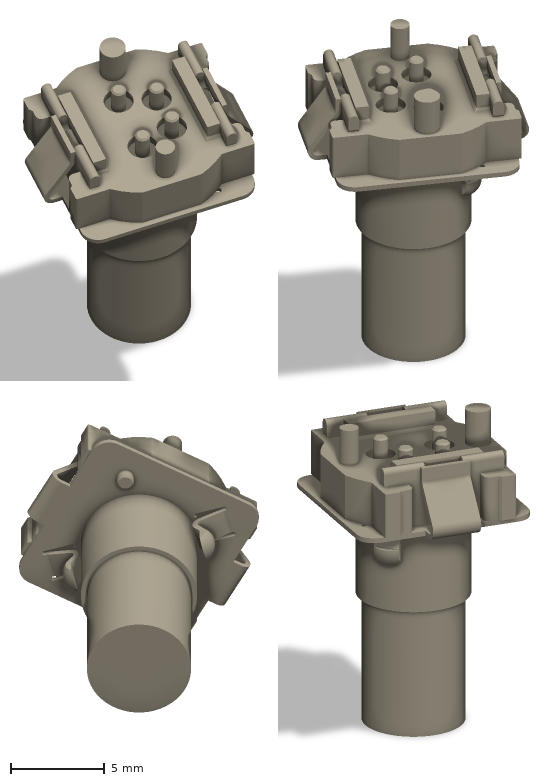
import cadquery as cq
import math

SHEET = 0.28
FLANGE_SIDE = 10.0
FLANGE_CORNER = 1.0

BODY_TOP = 2.8
BODY_ROUND_RADIUS = 5.0
BODY_HALF_X = 4.7
LUG_OUTER_X = 3.81
LUG_Y = 5.18
LUG_INNER_X = 2.98
STEP_X = 2.8
STEP_Y = 5.02
LUG_ROUND = 0.1
NOTCH_HALF_X = 2.08
NOTCH_ROUND = 0.33

COLLAR_RADIUS = 3.12
COLLAR_BOTTOM = -5.2
SLEEVE_RADIUS = 2.8
SLEEVE_BOTTOM = -12.5

GUIDE_TOP = 4.8
GUIDE_X = 3.75
GUIDE_RADII = {-GUIDE_X: 0.7, GUIDE_X: 0.52}
CONTACT_POINTS = [(-1.08, 1.46), (1.08, 1.46), (-1.71, -0.49), (1.71, -0.49)]
CONTACT_RADIUS = 0.4
CONTACT_CHAMFER = 0.1
CONTACT_TOP = 3.8
WELL_RADIUS = 0.81
WELL_DEPTH = 0.5

BAR_INNER_Y = 3.67
BAR_OUTER_Y = 4.25
BAR_HALF_X = 3.5
BAR_TOP = 3.82
BAR_END_ROUND = 0.2
BAR_RADIUS = (BAR_OUTER_Y - BAR_INNER_Y) / 2
BAR_MID_Y = (BAR_OUTER_Y + BAR_INNER_Y) / 2
GAP_HALF_X = 1.11
TROUGH_RADIUS = 0.26
TROUGH_FLOOR = 0.02
HUMP_PEAK_Y = 3.82
HUMP_PEAK = 3.2
RIDGE_HALF_X = 2.53
RIDGE_INNER_Y = 2.94
RIDGE_TOP = 3.76
RIDGE_FOOT = 0.16

LEAF_WIDTH = 2.8
LEAF_TOP = 3.7
LEAF_REACH = 6.05
LEAF_BEND_RADIUS = 0.57
LEAF_LEAN = math.radians(36)
LEAF_KNEE_RADIUS = 0.28

FINGER_HALF_WIDTH = 0.71
FINGER_ROOT = 5.03
FINGER_SLOT_WIDTH = 0.26
FINGER_WINDOW_START = 3.3
FINGER_HINGE = 4.93
FINGER_BEND_CENTRE = (3.7, -0.62)
FINGER_BEND_RADIUS = 0.52
FINGER_ARM_DROP = math.radians(16.7)
FINGER_LEG_SLOPE = math.radians(55)
FINGER_PAD_INNER = 3.6
FINGER_PAD_BOTTOM = -1.6
DOME_RADIUS = 1.0
DOME_CENTRE = (3.21, -1.5)
DOME_TOP = -1.33

FOOT_X = 3.32
FOOT_Y = 2.65
FOOT_RADIUS = 0.46
FOOT_HEIGHT = 0.53
FOOT_CHAMFER = 0.1

DIAGONAL = cq.Plane(origin=(0, 0, 0), xDir=(-1, -1, 0), normal=(-1, 1, 0))


def half_turn(shape):
    """The shape together with its copy turned 180 degrees about the part axis."""
    return shape.union(shape.rotate((0, 0, 0), (0, 0, 1), 180))


def disc(x, y, bottom, top, radius):
    """Upright cylinder between two heights."""
    return cq.Workplane("XY", origin=(x, y, bottom)).circle(radius).extrude(top - bottom)


def block(half_x, inner_y, outer_y, bottom, top):
    """Box centred on x = 0 between two y positions and two heights."""
    size = (2 * half_x, outer_y - inner_y, top - bottom)
    return cq.Workplane("XY", origin=(0, inner_y, bottom)).box(*size, centered=(True, False, False))


def make_flange():
    flange = cq.Workplane("XY").rect(FLANGE_SIDE, FLANGE_SIDE).extrude(SHEET)
    return flange.edges("|Z").fillet(FLANGE_CORNER)


def make_body():
    height = BODY_TOP - SHEET
    base = cq.Workplane("XY", origin=(0, 0, SHEET))
    middle = base.circle(BODY_ROUND_RADIUS).extrude(height)
    side_trim = base.rect(2 * BODY_HALF_X, 2 * BODY_ROUND_RADIUS).extrude(height)
    end_y = math.sqrt(BODY_ROUND_RADIUS**2 - LUG_OUTER_X**2)
    end_trim = base.rect(2 * BODY_HALF_X, 2 * end_y).extrude(height)
    middle = middle.intersect(side_trim).intersect(end_trim)

    lugs = [(LUG_OUTER_X, LUG_Y), (LUG_INNER_X, LUG_Y), (STEP_X, STEP_Y), (NOTCH_HALF_X, STEP_Y),
            (NOTCH_HALF_X, BAR_OUTER_Y)]
    mirrored = [(-x, y) for x, y in reversed(lugs)]
    end = base.polyline([(LUG_OUTER_X, 0)] + lugs + mirrored + [(-LUG_OUTER_X, 0)]).close().extrude(height)
    for side in (-1, 1):
        lug_corner = cq.NearestToPointSelector((side * LUG_OUTER_X, LUG_Y, SHEET + height / 2))
        end = end.edges(lug_corner).fillet(LUG_ROUND)
        notch_corner = cq.NearestToPointSelector((side * NOTCH_HALF_X, STEP_Y, SHEET + height / 2))
        end = end.edges(notch_corner).fillet(NOTCH_ROUND)
    return middle.union(half_turn(end))


def make_barrel():
    collar = disc(0, 0, COLLAR_BOTTOM, SHEET, COLLAR_RADIUS)
    return collar.union(disc(0, 0, SLEEVE_BOTTOM, COLLAR_BOTTOM, SLEEVE_RADIUS))


def make_contact(x, y):
    contact = disc(x, y, BODY_TOP - WELL_DEPTH, CONTACT_TOP, CONTACT_RADIUS)
    return contact.faces(">Z").chamfer(CONTACT_CHAMFER)


def make_bar():
    """Round-topped bar, cut through in the middle."""
    bar = block(BAR_HALF_X, BAR_INNER_Y, BAR_OUTER_Y, BODY_TOP, BAR_TOP - BAR_RADIUS)
    bar = bar.edges("|Y and <Z").fillet(BAR_END_ROUND)
    crown = cq.Workplane("YZ", origin=(-BAR_HALF_X, BAR_MID_Y, BAR_TOP - BAR_RADIUS))
    bar = bar.union(crown.circle(BAR_RADIUS).extrude(2 * BAR_HALF_X))
    return bar.cut(block(GAP_HALF_X, BAR_INNER_Y, BAR_OUTER_Y, BODY_TOP, BAR_TOP))


def make_gap_floor():
    """Two rounded troughs at the ends of the bar's gap, with a peaked hump between them."""
    shoulder = BODY_TOP + TROUGH_FLOOR + TROUGH_RADIUS
    floor = block(GAP_HALF_X, BAR_INNER_Y, BAR_OUTER_Y, BODY_TOP, shoulder)
    hump_half_x = GAP_HALF_X - 2 * TROUGH_RADIUS
    floor = floor.cut(block(hump_half_x, BAR_INNER_Y, BAR_OUTER_Y, BODY_TOP, shoulder))
    for side in (-1, 1):
        trough_x = side * (GAP_HALF_X - TROUGH_RADIUS)
        trough = cq.Workplane("XZ", origin=(trough_x, BAR_OUTER_Y, shoulder)).circle(TROUGH_RADIUS)
        floor = floor.cut(trough.extrude(BAR_OUTER_Y - BAR_INNER_Y))
    hump = (
        cq.Workplane("YZ", origin=(-hump_half_x, 0, 0))
        .moveTo(BAR_INNER_Y, BODY_TOP)
        .lineTo(BAR_INNER_Y, shoulder)
        .lineTo(HUMP_PEAK_Y, HUMP_PEAK)
        .lineTo(BAR_OUTER_Y, BODY_TOP)
        .close()
        .extrude(2 * hump_half_x)
    )
    return floor.union(hump)


def make_ridge():
    """Upright ridge against the bar, with a 45 degree foot on its three free sides."""
    ridge = block(RIDGE_HALF_X, RIDGE_INNER_Y, BAR_INNER_Y, BODY_TOP, RIDGE_TOP)
    foot_width = 2 * (RIDGE_HALF_X + RIDGE_FOOT)
    foot_depth = BAR_INNER_Y - RIDGE_INNER_Y + 2 * RIDGE_FOOT
    middle_y = (BAR_INNER_Y + RIDGE_INNER_Y) / 2
    foot = cq.Workplane("XY", origin=(0, middle_y, BODY_TOP)).rect(foot_width, foot_depth)
    foot = foot.extrude(RIDGE_FOOT, taper=45)
    foot = foot.intersect(block(foot_width, 0, BAR_INNER_Y, BODY_TOP, RIDGE_TOP))
    return ridge.union(foot)


def make_leaf():
    """Strip running out from the flange, curling up and leaning back against the bar."""
    centre_y = LEAF_REACH - LEAF_BEND_RADIUS
    centre_z = LEAF_BEND_RADIUS

    def on_bend(radius, angle):
        return (centre_y + radius * math.cos(angle), centre_z + radius * math.sin(angle))

    def knee(radius, face_y):
        tangent_y, tangent_z = on_bend(radius, LEAF_LEAN)
        return (face_y, tangent_z + (tangent_y - face_y) / math.tan(LEAF_LEAN))

    inner_radius = LEAF_BEND_RADIUS - SHEET
    mid_angle = (LEAF_LEAN - math.pi / 2) / 2
    front_y = BAR_OUTER_Y + SHEET
    front_knee = knee(LEAF_BEND_RADIUS, front_y)
    back_knee = knee(inner_radius, BAR_OUTER_Y)
    leaf = (
        cq.Workplane("YZ", origin=(-LEAF_WIDTH / 2, 0, 0))
        .moveTo(front_y, 0)
        .lineTo(centre_y, 0)
        .threePointArc(on_bend(LEAF_BEND_RADIUS, mid_angle), on_bend(LEAF_BEND_RADIUS, LEAF_LEAN))
        .lineTo(*front_knee)
        .lineTo(front_y, LEAF_TOP)
        .lineTo(BAR_OUTER_Y, LEAF_TOP)
        .lineTo(*back_knee)
        .lineTo(*on_bend(inner_radius, LEAF_LEAN))
        .threePointArc(on_bend(inner_radius, mid_angle), (centre_y, SHEET))
        .lineTo(front_y, SHEET)
        .close()
        .extrude(LEAF_WIDTH)
    )
    leaf = leaf.edges(cq.NearestToPointSelector((0, *front_knee))).fillet(LEAF_KNEE_RADIUS)
    return leaf.edges(cq.NearestToPointSelector((0, *back_knee))).fillet(LEAF_KNEE_RADIUS + SHEET)


def make_finger_window():
    """Opening in the flange around one finger: the finger's own strip plus a slot on each side."""
    strip_length = FINGER_HINGE - FINGER_WINDOW_START
    flat = cq.Plane(origin=(0, 0, 0), xDir=(-1, -1, 0), normal=(0, 0, 1))
    window = cq.Workplane(flat).center(FINGER_WINDOW_START + strip_length / 2, 0)
    window = window.rect(strip_length, 2 * FINGER_HALF_WIDTH).extrude(SHEET)
    slot_end = FINGER_ROOT + FINGER_SLOT_WIDTH / 2
    slot_length = slot_end - FINGER_WINDOW_START
    for side in (-1, 1):
        offset = side * (FINGER_HALF_WIDTH + FINGER_SLOT_WIDTH / 2)
        slot = cq.Workplane(flat).center(FINGER_WINDOW_START + slot_length / 2, offset)
        window = window.union(slot.slot2D(slot_length, FINGER_SLOT_WIDTH).extrude(SHEET))
    return window


def make_dome():
    """Part of a ball bulging outward from the pad, trimmed to the finger's width."""
    ball = cq.Workplane("XY").sphere(DOME_RADIUS).translate(DIAGONAL.toWorldCoords(DOME_CENTRE))
    trim = cq.Workplane(DIAGONAL).moveTo(FINGER_PAD_INNER, DOME_TOP)
    trim = trim.rect(2 * DOME_RADIUS, -2 * DOME_RADIUS, centered=False)
    return ball.intersect(trim.extrude(FINGER_HALF_WIDTH, both=True))


def make_finger():
    """Arm sloping down from the flange, turning back outward into a leg that ends in a domed pad."""
    centre_u, centre_z = FINGER_BEND_CENTRE
    arm_angle = math.pi / 2 + FINGER_ARM_DROP
    leg_angle = 3 * math.pi / 2 - FINGER_LEG_SLOPE
    mid_angle = (arm_angle + leg_angle) / 2

    def on_bend(radius, angle):
        return (centre_u + radius * math.cos(angle), centre_z + radius * math.sin(angle))

    def leg_end(radius, u):
        tangent_u, tangent_z = on_bend(radius, leg_angle)
        return (u, tangent_z - (u - tangent_u) * math.tan(FINGER_LEG_SLOPE))

    outer = FINGER_BEND_RADIUS
    inner = FINGER_BEND_RADIUS - SHEET
    pad_outer = FINGER_PAD_INNER + SHEET
    strip = (
        cq.Workplane(DIAGONAL)
        .moveTo(FINGER_ROOT, SHEET)
        .lineTo(FINGER_HINGE, SHEET)
        .lineTo(*on_bend(outer, arm_angle))
        .threePointArc(on_bend(outer, mid_angle), on_bend(outer, leg_angle))
        .lineTo(*leg_end(outer, FINGER_PAD_INNER))
        .lineTo(FINGER_PAD_INNER, FINGER_PAD_BOTTOM)
        .lineTo(pad_outer, FINGER_PAD_BOTTOM)
        .lineTo(*leg_end(inner, pad_outer))
        .lineTo(*on_bend(inner, leg_angle))
        .threePointArc(on_bend(inner, mid_angle), on_bend(inner, arm_angle))
        .lineTo(FINGER_HINGE, 0)
        .lineTo(FINGER_ROOT, 0)
        .close()
        .extrude(FINGER_HALF_WIDTH, both=True)
    )
    return strip.union(make_dome())


def make_foot():
    foot = disc(FOOT_X, -FOOT_Y, -FOOT_HEIGHT, SHEET, FOOT_RADIUS)
    return foot.faces("<Z").chamfer(FOOT_CHAMFER)


result = make_flange().cut(half_turn(make_finger_window()))
result = result.union(make_body()).union(make_barrel())
for x, y in CONTACT_POINTS:
    result = result.cut(disc(x, y, BODY_TOP - WELL_DEPTH, BODY_TOP, WELL_RADIUS))
    result = result.union(make_contact(x, y))
for x, radius in GUIDE_RADII.items():
    result = result.union(disc(x, 0, BODY_TOP, GUIDE_TOP, radius))
for feature in (make_bar(), make_gap_floor(), make_ridge(), make_leaf(), make_finger(), make_foot()):
    result = result.union(half_turn(feature))